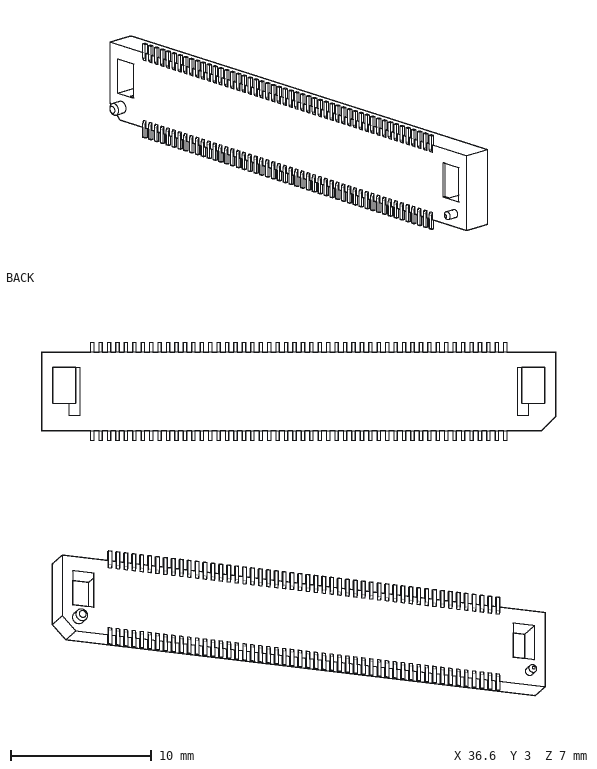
import cadquery as cq

body_length = 36.6
body_depth = 2.1
body_height = 5.6
corner_chamfer = 1.02

window_width = 1.6
window_height = 2.55
window_offset_x = 16.7
window_offset_z = 0.45

slot_outer_x = 16.35
slot_width = 0.8
slot_height = 2 * (window_offset_z + window_height / 2)
slot_lip = 0.2

overall_depth = 3.0
peg_length = overall_depth - body_depth
peg_offset_x = 17.1
peg_offset_z = -1.8
large_peg_diameter = 0.88
small_peg_diameter = 0.6
peg_chamfer = 0.2

overall_height = 7.0
lead_count = 50
lead_row_span = 29.4
lead_pitch = lead_row_span / (lead_count - 1)
lead_width = 0.25
lead_thickness = 0.2
lead_standoff = 0.1
lead_length = 1.3
outer_bend_radius = 0.3
inner_bend_radius = outer_bend_radius - lead_thickness


def make_body():
    """Block with one chamfered lower corner."""
    block = cq.Workplane("XY").box(body_length, body_depth, body_height)
    block = block.translate((0, body_depth / 2, 0))
    return block.edges("|Y").edges("<X").edges("<Z").chamfer(corner_chamfer)


def make_windows():
    """Cutters for the two rectangular through windows."""
    return (
        cq.Workplane("XZ")
        .pushPoints([(-window_offset_x, window_offset_z), (window_offset_x, window_offset_z)])
        .rect(window_width, window_height)
        .extrude(-body_depth)
    )


def make_rear_slots():
    """Cutters for the end slots, leaving a thin lip at the front face."""
    slot_centre_x = slot_outer_x - slot_width / 2
    return (
        cq.Workplane("XZ", origin=(0, slot_lip, 0))
        .pushPoints([(-slot_centre_x, 0), (slot_centre_x, 0)])
        .rect(slot_width, slot_height)
        .extrude(slot_lip - body_depth)
    )


def make_peg(x, diameter):
    """Round peg with a chamfered tip, standing out from the front face."""
    return (
        cq.Workplane("XZ", origin=(x, 0, peg_offset_z))
        .circle(diameter / 2)
        .extrude(peg_length)
        .faces("<Y")
        .chamfer(peg_chamfer)
    )


def make_upper_lead():
    """Flat lead, centred in X, whose inner end bends back into the housing."""
    tip_z = overall_height / 2
    inner_z = tip_z - lead_length
    bend_z = inner_z + outer_bend_radius
    front_y = -lead_standoff
    back_y = front_y + lead_thickness
    tail_y = front_y + outer_bend_radius
    return (
        cq.Workplane("YZ", origin=(-lead_width / 2, 0, 0))
        .moveTo(front_y, tip_z)
        .lineTo(back_y, tip_z)
        .lineTo(back_y, bend_z)
        .radiusArc((tail_y, inner_z + lead_thickness), -inner_bend_radius)
        .lineTo(tail_y, inner_z)
        .radiusArc((front_y, bend_z), outer_bend_radius)
        .close()
        .extrude(lead_width)
    )


def make_leads():
    """All leads of both rows, as a list of separate solids."""
    upper_lead = make_upper_lead()
    lower_lead = upper_lead.mirror("XY")
    leads = []
    for index in range(lead_count):
        x = index * lead_pitch - lead_row_span / 2
        leads.append(upper_lead.translate((x, 0, 0)).val())
        leads.append(lower_lead.translate((x, 0, 0)).val())
    return leads


housing = make_body().cut(make_windows()).cut(make_rear_slots())
housing = housing.union(make_peg(-peg_offset_x, large_peg_diameter))
housing = housing.union(make_peg(peg_offset_x, small_peg_diameter))
connector = housing.val().fuse(*make_leads())
result = cq.Workplane(connector.Solids()[0])